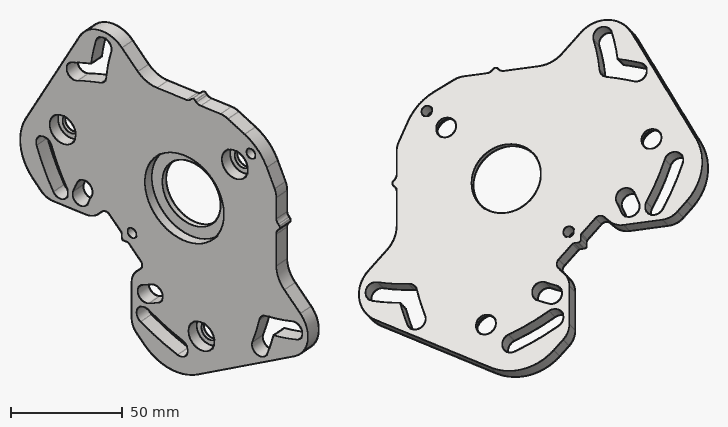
import cadquery as cq
import math

thickness = 8.0

flat_side = 52.1
small_radius = 10.0
neck_radius = 15.4
ear_radius = 15.2
foot_radius = 25.3
notch_radius = 3.0
shoulder_radius = 26.5
foot_side = -30.0
ear_tip = (-49.8, 79.9)
foot_tip = (-99.4, -9.2)
foot_heel_x = -78.6
foot_toe_x = -51.8
notch_corner = (-44.6, -22.9)
neck_x = -22.0
shoulder_start_x = 22.5
shoulder_tip = (42.7, 42.7)

bump_height = 2.6
bump_offset = 5.0
bump_tip_radius = 1.3
bump_base_radius = 3.5
notch_bump_base_radius = 1.0

bore_diameter = 33.0
bore_recess_diameter = 45.0
bore_recess_depth = 5.0
bolt_diameter = 9.5
bolt_recess_diameter = 14.7
bolt_recess_depth = 6.0
bolt_diagonal = 28.6
bolt_far = 69.1
bolt_near = 9.6
pin_diameter = 5.0
pin_diagonals = (37.8, -29.7)

slot_width = 9.0
chevron_corner = (-48.9, 46.9)
slots = [
    (chevron_corner, (-46.0, 62.5), 81.7),
    ((-62.5, 42.8), chevron_corner, 130.7),
    ((-70.6, -22.7), (-79.7, -2.6), 114.4),
    ((-59.0, -22.0), (-56.7, -16.8), 81.7),
]


def mirrored(point):
    """Reflect a point in the diagonal X = Z."""
    return (point[1], point[0])


def toward(start, end, distance):
    """Point at the given distance from start on the way to end."""
    length = math.dist(start, end)
    return tuple(a + (b - a) * distance / length for a, b in zip(start, end))


def round_corner(previous, corner, following, radius):
    """Start, middle and end of the arc that rounds a corner."""
    ahead = math.atan2(following[1] - corner[1], following[0] - corner[0])
    behind = math.atan2(previous[1] - corner[1], previous[0] - corner[0])
    half_angle = abs(math.remainder(ahead - behind, 2 * math.pi)) / 2
    tangent_length = radius / math.tan(half_angle)
    start = toward(corner, previous, tangent_length)
    end = toward(corner, following, tangent_length)
    chord_middle = ((start[0] + end[0]) / 2, (start[1] + end[1]) / 2)
    middle = toward(corner, chord_middle, radius / math.sin(half_angle) - radius)
    return start, middle, end


def rounded_plate(corners):
    """Plate whose outline is given as (corner point, corner radius) pairs."""
    count = len(corners)
    arcs = [
        round_corner(corners[i - 1][0], corners[i][0], corners[(i + 1) % count][0], corners[i][1])
        for i in range(count)
    ]
    outline = cq.Workplane("XZ").moveTo(*arcs[-1][2])
    for start, middle, end in arcs:
        outline = outline.lineTo(*start).threePointArc(middle, end)
    return outline.close().extrude(-thickness)


def cylinder(center, diameter, depth):
    """Cylinder running from the front face into the plate."""
    return cq.Workplane("XZ").center(*center).circle(diameter / 2).extrude(-depth)


def curved_slot(start, end, radius):
    """Round-ended slot whose centre of curvature lies right of the start-to-end direction."""
    chord = math.dist(start, end)
    direction = ((end[0] - start[0]) / chord, (end[1] - start[1]) / chord)
    right = (direction[1], -direction[0])
    drop = math.sqrt(radius**2 - (chord / 2) ** 2)
    center = tuple((a + b) / 2 + r * drop for a, b, r in zip(start, end, right))

    def at(point, shift):
        return toward(center, point, radius + shift)

    crown = tuple(c - r * radius for c, r in zip(center, right))
    half = slot_width / 2
    start_cap = tuple(a - d * half for a, d in zip(start, direction))
    end_cap = tuple(a + d * half for a, d in zip(end, direction))
    return (
        cq.Workplane("XZ")
        .moveTo(*at(start, half))
        .threePointArc(at(crown, half), at(end, half))
        .threePointArc(end_cap, at(end, -half))
        .threePointArc(at(crown, -half), at(start, -half))
        .threePointArc(start_cap, at(start, half))
        .close()
        .extrude(-thickness)
    )


notch_floor_sum = sum(notch_corner)
bump_tip = notch_floor_sum / 2 - bump_height / math.sqrt(2)
half_outline = [
    ((bump_tip, notch_floor_sum - bump_tip), notch_bump_base_radius),
    (notch_corner, notch_radius),
    ((foot_toe_x, foot_side), small_radius),
    ((foot_heel_x, foot_side), small_radius),
    (foot_tip, foot_radius),
    (ear_tip, ear_radius),
    ((neck_x, flat_side), neck_radius),
    ((bump_offset - bump_height, flat_side), bump_base_radius),
    ((bump_offset, flat_side + bump_height), bump_tip_radius),
    ((bump_offset + bump_height, flat_side), bump_base_radius),
    ((shoulder_start_x, flat_side), small_radius),
]
other_half = [(mirrored(point), radius) for point, radius in reversed(half_outline)]
outline_corners = (
    half_outline
    + [(shoulder_tip, shoulder_radius)]
    + other_half
    + [((bump_tip, bump_tip), bump_tip_radius)]
)

result = rounded_plate(outline_corners)

result = result.cut(cylinder((0, 0), bore_diameter, thickness))
result = result.cut(cylinder((0, 0), bore_recess_diameter, bore_recess_depth))

bolt_centers = [(bolt_diagonal, bolt_diagonal), (-bolt_far, bolt_near), (bolt_near, -bolt_far)]
for bolt_center in bolt_centers:
    result = result.cut(cylinder(bolt_center, bolt_diameter, thickness))
    result = result.cut(cylinder(bolt_center, bolt_recess_diameter, bolt_recess_depth))

for diagonal in pin_diagonals:
    result = result.cut(cylinder((diagonal, diagonal), pin_diameter, thickness))

for slot_start, slot_end, slot_radius in slots:
    result = result.cut(curved_slot(slot_start, slot_end, slot_radius))
    result = result.cut(curved_slot(mirrored(slot_end), mirrored(slot_start), slot_radius))